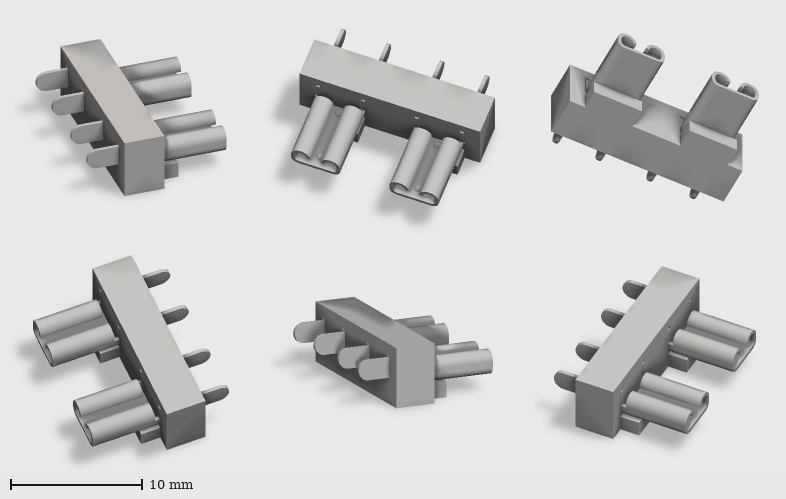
import cadquery as cq


housing_length = 14.68
housing_depth = 3.21
housing_height = 4.75

terminal_pitch = 8.0
terminal_centers = [-terminal_pitch / 2, terminal_pitch / 2]
terminal_width = 3.96
half_width = terminal_width / 2
sheet = 0.3

receptacle_length = 5.5
receptacle_end = housing_depth + receptacle_length
floor_z = 1.28
bend_radius = 0.6
roll_radius = 0.78
roll_center_z = 2.38
roll_relief = 0.4
wall_top_z = 2.3

dome_radius = 0.35
dome_height = 0.16
dome_offset_x = -0.06
dome_end_distance = 0.95
dome_spacing = 4.05

blade_length = 2.51
blade_height = 1.59
blade_z = 2.07

slot_width = 0.4
slot_height = 1.82
slot_clearance = slot_width - sheet

shelf_length = 1.59


def box(x_start, x_end, y_start, y_end, z_start, z_end):
    """Box between two opposite corners."""
    return cq.Workplane("XY").box(
        x_end - x_start, y_end - y_start, z_end - z_start, centered=False
    ).translate((x_start, y_start, z_start))


def extrude_along_y(outline, y_start, y_end):
    """Extrude an outline drawn on the XZ plane from y_start to y_end."""
    return outline.extrude(y_start - y_end).translate((0, y_start, 0))


def make_housing():
    """Block with four blade slots, each with its side clearance away from the middle."""
    housing = box(-housing_length / 2, housing_length / 2, 0, housing_depth, 0, housing_height)
    for side in (-1, 1):
        center = side * terminal_pitch / 2
        outer_blade_face = center + side * half_width
        inner_blade_face = center - side * half_width
        slot_spans = [
            (outer_blade_face + side * slot_clearance, outer_blade_face - side * sheet),
            (inner_blade_face, inner_blade_face + side * slot_width),
        ]
        for span in slot_spans:
            slot = box(min(span), max(span), 0, housing_depth, blade_z, blade_z + slot_height)
            housing = housing.cut(slot)
    return housing


def round_bottom_bar(half_span, bottom_z, edge_radius):
    """Solid bar up to the wall tops, with both lower edges rounded."""
    bar = box(-half_span, half_span, housing_depth, receptacle_end, bottom_z, wall_top_z)
    return bar.edges("|Y and <Z").fillet(edge_radius)


def make_channel():
    """Floor with two low side walls, bent up along rounded lower edges."""
    outside = round_bottom_bar(half_width, floor_z, bend_radius)
    inside = round_bottom_bar(half_width - sheet, floor_z + sheet, bend_radius - sheet)
    return outside.cut(inside)


def make_roll(side):
    """Half-round curl that carries one side wall up and back in over the floor."""
    outer_x = side * half_width
    inner_x = side * (half_width - sheet)
    center_x = side * (half_width - roll_radius)
    inner_radius = roll_radius - sheet
    outline = (
        cq.Workplane("XZ")
        .moveTo(outer_x, wall_top_z)
        .lineTo(outer_x, roll_center_z)
        .threePointArc(
            (center_x, roll_center_z + roll_radius), (center_x - side * roll_radius, roll_center_z)
        )
        .lineTo(center_x - side * inner_radius, roll_center_z)
        .threePointArc((center_x, roll_center_z + inner_radius), (inner_x, roll_center_z))
        .lineTo(inner_x, wall_top_z)
        .close()
    )
    return extrude_along_y(outline, housing_depth + roll_relief, receptacle_end)


def make_dome(y_position):
    """Spherical cap standing on the receptacle floor."""
    floor_top = floor_z + sheet
    ball_radius = (dome_radius**2 + dome_height**2) / (2 * dome_height)
    ball_center_z = dome_height - ball_radius
    mid_x = dome_radius / 2
    mid_z = ball_center_z + (ball_radius**2 - mid_x**2) ** 0.5
    half_profile = (
        cq.Workplane("XZ")
        .lineTo(dome_radius, 0)
        .threePointArc((mid_x, mid_z), (0, dome_height))
        .close()
    )
    dome = half_profile.revolve(360, (0, 0), (0, 1))
    return dome.translate((dome_offset_x, y_position, floor_top))


def make_blade(side):
    """Flat blade in line with one side wall, through the housing to a fully rounded tip."""
    end_radius = blade_height / 2
    tip_center_y = end_radius - blade_length
    blade_top = blade_z + blade_height
    outline = (
        cq.Workplane("YZ")
        .moveTo(housing_depth, blade_z)
        .lineTo(tip_center_y, blade_z)
        .threePointArc((-blade_length, blade_z + end_radius), (tip_center_y, blade_top))
        .lineTo(housing_depth, blade_top)
        .close()
    )
    x_start = min(side * half_width, side * (half_width - sheet))
    return outline.extrude(sheet).translate((x_start, 0, 0))


def make_terminal(center_x):
    """One receptacle with two blades, as a single folded piece."""
    terminal = make_channel()
    for side in (-1, 1):
        terminal = terminal.union(make_roll(side)).union(make_blade(side))
    far_dome_y = receptacle_end - dome_end_distance
    for y_position in (far_dome_y, far_dome_y - dome_spacing):
        terminal = terminal.union(make_dome(y_position))
    return terminal.translate((center_x, 0, 0))


def make_shelf(side):
    """Block under one receptacle, as wide as the pair of slots above it."""
    inner_x = side * (terminal_pitch / 2 - half_width)
    outer_x = side * (terminal_pitch / 2 + half_width + slot_clearance)
    x_start, x_end = sorted((inner_x, outer_x))
    return box(x_start, x_end, housing_depth, housing_depth + shelf_length, 0, floor_z)


housing = make_housing()
terminals = [make_terminal(center_x) for center_x in terminal_centers]
shelves = [make_shelf(side) for side in (-1, 1)]

result = cq.Compound.makeCompound(
    [housing.val()]
    + [terminal.solids().val() for terminal in terminals]
    + [shelf.val() for shelf in shelves]
)